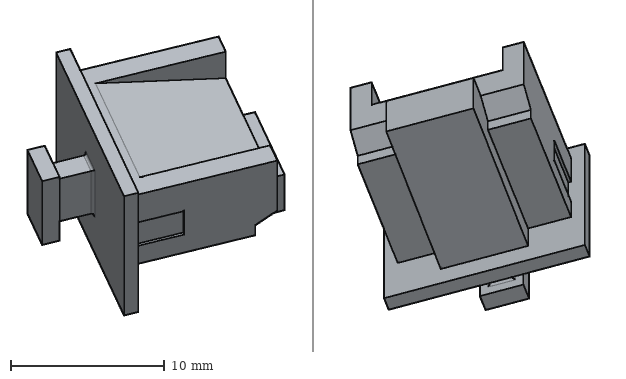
import cadquery as cq


KNOB_WIDTH = 3.0
KNOB_HEIGHT = 6.0
KNOB_THICKNESS = 1.2
NECK_WIDTH = 1.49
NECK_HEIGHT = 4.0
NECK_LENGTH = 2.61
NECK_FILLET = 0.2

PLATE_WIDTH = 13.8
PLATE_HEIGHT = 11.2
PLATE_THICKNESS = 0.99
PLATE_FRONT = KNOB_THICKNESS + NECK_LENGTH
PLATE_BACK = PLATE_FRONT + PLATE_THICKNESS

BODY_WIDTH = 11.9
BODY_TOP = 4.4
BODY_BOTTOM = -2.1
BODY_BACK = 14.7
CORNER_LENGTH = 1.5
CORNER_LOW = -1.17
CORNER_HIGH = -0.29

TAIL_WIDTH = 6.0
TAIL_BACK = 16.2
TAIL_TOP = CORNER_HIGH
TAIL_BOTTOM_FRONT = -4.03
TAIL_BOTTOM_BACK = -3.65

POCKET_WIDTH = 8.99
POCKET_LENGTH = 8.99
POCKET_DEPTH = 2.5

RECESS_LENGTH = 3.5
RECESS_BOTTOM = -0.4
RECESS_HEIGHT = 2.2
RECESS_DEPTH = 0.2


def block(width, height, front, length):
    """Box centred on X and Z, running back from the given Y position."""
    return cq.Workplane("XY").box(width, length, height).translate((0, front + length / 2, 0))


def side_profile(points, width):
    """Extrude a (Y, Z) outline across X, centred on the part."""
    return cq.Workplane("YZ").polyline(points).close().extrude(width / 2, both=True)


def make_handle_and_plate():
    knob = block(KNOB_WIDTH, KNOB_HEIGHT, 0, KNOB_THICKNESS)
    neck = block(NECK_WIDTH, NECK_HEIGHT, KNOB_THICKNESS, NECK_LENGTH)
    plate = block(PLATE_WIDTH, PLATE_HEIGHT, PLATE_FRONT, PLATE_THICKNESS)
    neck_ends = cq.selectors.BoxSelector(
        (-NECK_WIDTH / 2 - NECK_FILLET, KNOB_THICKNESS - NECK_FILLET, -NECK_HEIGHT / 2 - NECK_FILLET),
        (NECK_WIDTH / 2 + NECK_FILLET, PLATE_FRONT + NECK_FILLET, NECK_HEIGHT / 2 + NECK_FILLET),
    )
    neck_sides = cq.selectors.ParallelDirSelector(cq.Vector(0, 1, 0))
    return knob.union(neck).union(plate).edges(neck_ends - neck_sides).fillet(NECK_FILLET)


def make_body():
    return side_profile(
        [
            (PLATE_BACK, BODY_BOTTOM),
            (BODY_BACK - CORNER_LENGTH, BODY_BOTTOM),
            (BODY_BACK - CORNER_LENGTH, CORNER_LOW),
            (BODY_BACK, CORNER_HIGH),
            (BODY_BACK, BODY_TOP),
            (PLATE_BACK, BODY_TOP),
        ],
        BODY_WIDTH,
    )


def make_tail():
    return side_profile(
        [
            (PLATE_BACK, TAIL_BOTTOM_FRONT),
            (TAIL_BACK, TAIL_BOTTOM_BACK),
            (TAIL_BACK, TAIL_TOP),
            (PLATE_BACK, TAIL_TOP),
        ],
        TAIL_WIDTH,
    )


def make_pocket():
    return side_profile(
        [
            (BODY_BACK - POCKET_LENGTH, BODY_TOP),
            (BODY_BACK, BODY_TOP - POCKET_DEPTH),
            (BODY_BACK, BODY_TOP),
        ],
        POCKET_WIDTH,
    )


def make_recess(side):
    """Recess cutter for the -X (side = -1) or +X (side = 1) face."""
    return (
        cq.Workplane("XY")
        .box(2 * RECESS_DEPTH, RECESS_LENGTH, RECESS_HEIGHT)
        .translate((
            side * BODY_WIDTH / 2,
            PLATE_BACK + RECESS_LENGTH / 2,
            RECESS_BOTTOM + RECESS_HEIGHT / 2,
        ))
    )


plug = make_body().union(make_tail()).cut(make_pocket())
for side in (-1, 1):
    plug = plug.cut(make_recess(side))

result = make_handle_and_plate().union(plug)